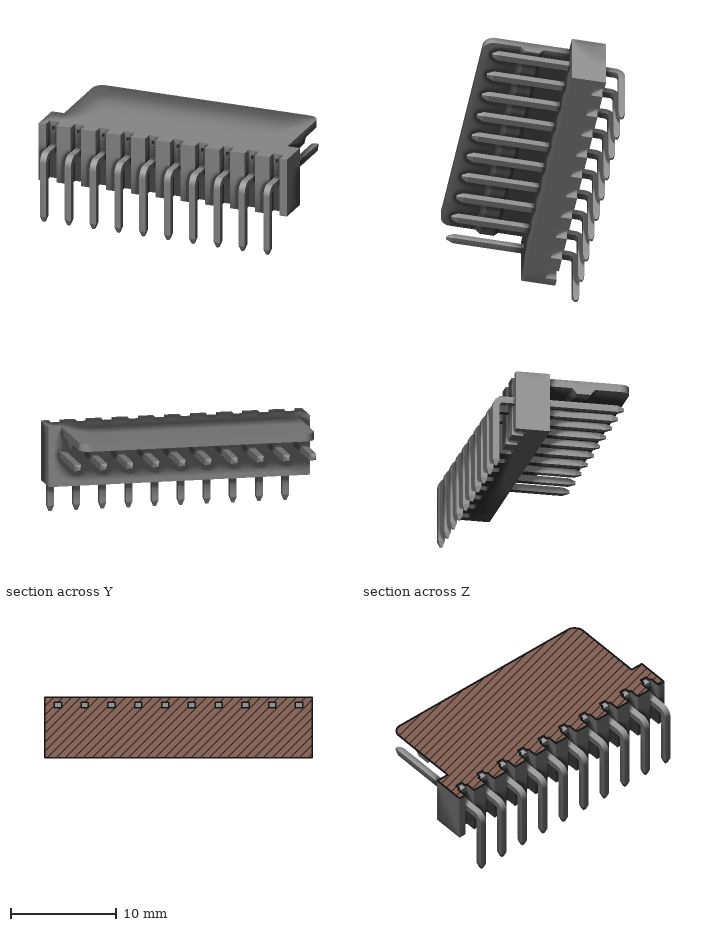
import cadquery as cq


pin_count = 10
pitch = 2.55

housing_length = pin_count * pitch
housing_depth = 3.3
housing_height = 5.8
slot_width = 1.07
slot_depth = 1.07

plate_reach = 8.18
plate_thickness = 0.75
plate_length = housing_length - pitch
plate_corner_radius = 1.02

ridge_from_plate_end = 3.5
ridge_base = 2.2
ridge_flank = 0.43
ridge_height = 0.53

pin_size = 0.64
pin_axis_z = -2.6
pin_front_reach = 2.03
pin_setback = 0.7
pin_back_reach = plate_reach - pin_setback
pin_bottom_z = -9.2
bend_outer_radius = 0.97
bend_inner_radius = bend_outer_radius - pin_size
mating_tip_length = 0.64
tail_tip_length = 0.55
tip_size = 0.25

pocket_height = 0.48
pocket_top_z = -0.53
pocket_depth = 0.5

housing_front_y = -housing_depth
slot_floor_y = housing_front_y + slot_depth
pin_positions = [(i - (pin_count - 1) / 2) * pitch for i in range(pin_count)]


def make_housing():
    """Rectangular block carrying the pins."""
    return cq.Workplane("XY").box(
        housing_length, housing_depth, housing_height, centered=(True, False, False)
    ).translate((0, housing_front_y, -housing_height))


def make_plate():
    """Thin plate, flush with the housing top and rounded at its free corners."""
    plate = cq.Workplane("XY").box(
        plate_length, plate_reach, plate_thickness, centered=(True, False, False)
    )
    plate = plate.edges("|Z and >Y").fillet(plate_corner_radius)
    return plate.translate((0, 0, -plate_thickness))


def make_ridge():
    """Trapezoidal latch ridge running the full length of the plate underside."""
    base_end = plate_reach - ridge_from_plate_end
    base_start = base_end - ridge_base
    base_z = -plate_thickness
    crest_z = base_z - ridge_height
    return (
        cq.Workplane("YZ")
        .moveTo(base_start, base_z)
        .lineTo(base_start + ridge_flank, crest_z)
        .lineTo(base_end - ridge_flank, crest_z)
        .lineTo(base_end, base_z)
        .close()
        .extrude(plate_length / 2, both=True)
    )


def make_slot():
    """Cutter for the full-height slot in front of one pin."""
    return cq.Workplane("XY").box(
        slot_width, slot_depth, housing_height, centered=(True, False, False)
    ).translate((0, housing_front_y, -housing_height))


def make_pocket():
    """Cutter for the small rectangular pocket above one pin."""
    return cq.Workplane("XY").box(
        pin_size, pocket_depth, pocket_height, centered=(True, False, False)
    ).translate((0, slot_floor_y, pocket_top_z - pocket_height))


def add_tip(pin, end_face, tip_length):
    """Taper the chosen square end of a pin."""
    taper = (
        pin.faces(end_face)
        .workplane(centerOption="CenterOfMass")
        .rect(pin_size, pin_size)
        .workplane(offset=tip_length)
        .rect(tip_size, tip_size)
        .loft(combine=False)
    )
    return pin.union(taper)


def make_pin():
    """Square pin: straight through the housing, then bent down, tapered at both ends."""
    top_z = pin_axis_z + pin_size / 2
    under_z = top_z - pin_size
    outer_y = housing_front_y - pin_front_reach
    inner_y = outer_y + pin_size
    back_y = pin_back_reach - mating_tip_length
    bottom_z = pin_bottom_z + tail_tip_length
    bend_y = outer_y + bend_outer_radius
    bend_z = top_z - bend_outer_radius
    pin = (
        cq.Workplane("YZ")
        .moveTo(back_y, top_z)
        .lineTo(bend_y, top_z)
        .radiusArc((outer_y, bend_z), -bend_outer_radius)
        .lineTo(outer_y, bottom_z)
        .lineTo(inner_y, bottom_z)
        .lineTo(inner_y, under_z - bend_inner_radius)
        .radiusArc((inner_y + bend_inner_radius, under_z), bend_inner_radius)
        .lineTo(back_y, under_z)
        .close()
        .extrude(pin_size / 2, both=True)
    )
    pin = add_tip(pin, ">Y", mating_tip_length)
    return add_tip(pin, "<Z", tail_tip_length)


result = make_housing().union(make_plate()).union(make_ridge())

slot = make_slot()
pocket = make_pocket()
pin = make_pin()
for x in pin_positions:
    result = result.cut(slot.translate((x, 0, 0)))
    result = result.cut(pocket.translate((x, 0, 0)))
    result = result.union(pin.translate((x, 0, 0)))